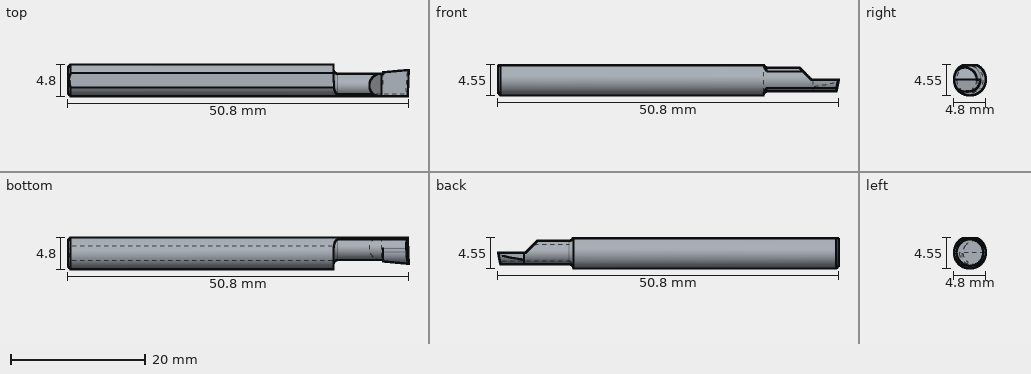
import cadquery as cq
import math

length = 50.8
shank_radius = 2.4
flat_height = 2.15
shank_end = 39.55
back_chamfer = 0.4

neck_radius = 1.8
neck_back = 1.0
neck_axis_y = neck_back - neck_radius
neck_fillet = 0.6

rake_height = 0.0
ramp_end = 46.7
ramp_angle = 45.0
head_start = 46.95
head_start_y = 1.2
tip_y = 1.6
end_face_skew = 0.15
end_relief_angle = 10.0

margin = 2 * shank_radius


def along_x(radius, start, end, center_y=0.0):
    """Round bar between two X positions."""
    plane = cq.Workplane("YZ", origin=(start, center_y, 0))
    return plane.circle(radius).extrude(end - start)


def make_shank():
    shank = along_x(shank_radius, 0, shank_end).faces("<X").chamfer(back_chamfer)
    flat_cutter = cq.Workplane("XY", origin=(0, 0, flat_height)).rect(2 * length, margin * 2).extrude(margin)
    return shank.cut(flat_cutter)


def make_neck():
    """Neck with a concave flare into the shank shoulder."""
    flare_end = shank_end + neck_fillet
    arc_drop = neck_fillet * (1 - math.sqrt(0.5))
    profile = (
        cq.Workplane("XY")
        .moveTo(shank_end, 0)
        .lineTo(shank_end, neck_radius + neck_fillet)
        .threePointArc(
            (shank_end + arc_drop, neck_radius + arc_drop),
            (flare_end, neck_radius),
        )
        .lineTo(length, neck_radius)
        .lineTo(length, 0)
        .close()
    )
    neck = profile.revolve(360, (0, 0, 0), (1, 0, 0)).translate((0, neck_axis_y, 0))
    flat_limit = cq.Workplane("XY", origin=(0, 0, flat_height)).rect(2 * length, margin * 2).extrude(-margin * 2)
    return neck.intersect(along_x(shank_radius, shank_end, length)).intersect(flat_limit)


def make_head():
    """Neck section widened toward +Y, its back edge rising to the cutting tip."""
    slot_shift = tip_y - neck_back
    section = (
        cq.Workplane("YZ", origin=(head_start, neck_axis_y + slot_shift / 2, 0))
        .slot2D(2 * neck_radius + slot_shift, 2 * neck_radius)
        .extrude(length - head_start)
    )
    plan = (
        cq.Workplane("XY", origin=(0, 0, -margin))
        .polyline([(head_start, -margin), (length, -margin), (length, tip_y), (head_start, head_start_y)])
        .close()
        .extrude(2 * margin)
    )
    return section.intersect(plan).intersect(along_x(shank_radius, head_start, length))


def rake_cutter():
    """Space above the rake face and its sloping run-out."""
    rise = margin
    run = rise / math.tan(math.radians(ramp_angle))
    return (
        cq.Workplane("XZ")
        .polyline([
            (ramp_end, rake_height),
            (length + margin, rake_height),
            (length + margin, rake_height + rise),
            (ramp_end - run, rake_height + rise),
        ])
        .close()
        .extrude(margin, both=True)
    )


def end_cutter():
    """Slab ahead of the end face, which leans back below the tip."""
    skew_angle = math.degrees(math.atan(end_face_skew / (tip_y + shank_radius)))
    slab = cq.Workplane("XY").box(margin, 4 * margin, 4 * margin).translate((margin / 2, 0, 0))
    slab = slab.rotate((0, 0, 0), (0, 1, 0), end_relief_angle)
    slab = slab.rotate((0, 0, 0), (0, 0, 1), -skew_angle)
    return slab.translate((length, tip_y, rake_height))


bar = make_shank().union(make_neck()).union(make_head())
result = bar.cut(rake_cutter()).cut(end_cutter())